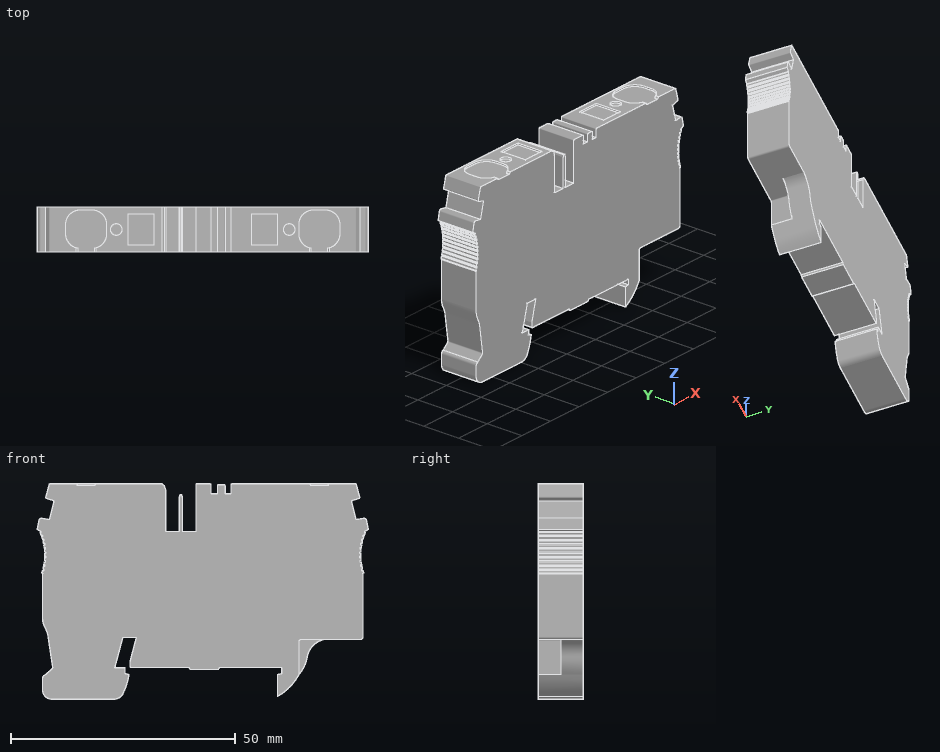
import cadquery as cq
import math

LENGTH = 73.75
THICKNESS = 10.0
HEIGHT = 48.0
HALF_LENGTH = LENGTH / 2

TOP_INSET = 2.7
LIP_INSET, LIP_Z = 1.85, 44.75
NOTCH_TOP_INSET, NOTCH_TOP_Z = 3.75, 44.2
NOTCH_FLOOR_INSET, NOTCH_FLOOR_Z = 2.7, 40.05
SHOULDER_INSET, SHOULDER_Z = 0.5, 40.4
TIP_Z = 37.8
WALL_INSET = 1.2

GRIP_RADIUS = 12.9
GRIP_DEPTH = 1.9
GRIP_CENTER_Z = 32.15
GRIP_TOP_Z = 37.3
GRIP_CENTER_INSET = GRIP_DEPTH - GRIP_RADIUS
GRIP_TOP_INSET = GRIP_CENTER_INSET + math.sqrt(GRIP_RADIUS**2 - (GRIP_TOP_Z - GRIP_CENTER_Z) ** 2)
GRIP_BOTTOM_Z = GRIP_CENTER_Z - math.sqrt(GRIP_RADIUS**2 - (WALL_INSET - GRIP_CENTER_INSET) ** 2)
RIBS_BELOW_CENTER, RIBS_ABOVE_CENTER = 4, 5
RIB_PITCH = 4.3
RIB_WIDTH = 0.7
RIB_HEIGHT = 0.26
RIB_ROOT = 0.3

UNDERSIDE_Z = 7.1
HOOK_TIP_Z = 5.5
HOOK_STEP_Z = 5.75
WALL_X = HALF_LENGTH - WALL_INSET
OVERHANG_Z = 13.3
CLAW_BACK_X = 21.45
CLAW_FRONT_X = 16.6
CLAW_TIP_Z = 0.6
CLAW_STEP_X = 17.55
CLAW_ARC_MID = (19.4, 2.7)
FOOT_CORNER_RADIUS = 2.15
FOOT_TOE_RIGHT_X = -19.7
FOOT_TOE_MID, FOOT_TOE_END = (-18.65, 0.3), (-17.85, 1.0)
FOOT_FLANK_MID, FOOT_FLANK_END = (-16.95, 3.1), (-16.4, HOOK_TIP_Z)
HOOK_STEP_X = -17.25

TAPER_START = (-WALL_X, 17.1)
TAPER_END = (-34.6, 14.8)
FOOT_WAIST = (-33.4, 6.9)
FOOT_SLOPE_END = (-35.1, 5.45)
FOOT_SHOULDER = (-WALL_X, 5.2)
TAPER_START_RADIUS = 4.4
TAPER_END_RADIUS = 3.3
FOOT_WAIST_RADIUS = 0.4
FOOT_SHOULDER_RADIUS = 0.9

SPRING_SLOT_TOP_Z = 13.7
SPRING_SLOT_TOP_X = (-17.8, -14.8)
SPRING_SLOT_BOTTOM_X = (-19.55, -16.2)
SPRING_SLOT_BEND_Z = 8.4

SMALL_RADIUS = 0.3
OVERHANG_CORNER_RADIUS = 0.7
TOP_EDGE_RADIUS = 0.2
LIP_RADIUS = 0.4
SHOULDER_RADIUS = 0.6

PAD_START_X, PAD_END_X = -3.1, 3.75
PAD_DEPTH = 0.45
PAD_SLOPE = 0.3

GUSSET_FRONT_Y = 0
GUSSET_LOWER_MID = (22.65, 7.4)
GUSSET_BEND = (23.3, 9.5)
GUSSET_UPPER_MID = (24.5, 11.9)
GUSSET_TOP_X = 26.85

MARKER_SLOT_X = (-8.2, -1.55)
MARKER_SLOT_FLOOR_Z = 37.4
BEVEL_STEPS = [(0, -1.5), (-0.4, -0.45), (-0.9, 0)]
BLADE_X = sum(MARKER_SLOT_X) / 2
BLADE_WIDTH = 0.75
BLADE_TOP_Z = 45.6
BLADE_ROOT = 0.75
BLADE_TIP_CHAMFER = (0.185, 0.6)
GROOVES_X = ((1.85, 3.25), (5.0, 6.3))
GROOVE_FLOOR_Z = 45.8
TONGUE_DROP = 0.2

RECESS_DEPTH = 0.45
ENTRY_X, ENTRY_Y = 25.95, 0.1
ENTRY_LENGTH, ENTRY_WIDTH = 9.15, 8.55
ENTRY_RADIUS = 3.25
NECK_TOP_WIDTH, NECK_FLOOR_WIDTH = 4.4, 3.7
TEST_HOLE_X = 19.25
TEST_HOLE_DIAMETER = 2.6
WINDOW_X = 13.7
WINDOW_LENGTH, WINDOW_WIDTH = 5.8, 6.9


def end_points(side):
    """Points of one stepped end face, from the top down to the grip; side is -1 or 1."""
    insets = [
        (TOP_INSET, HEIGHT),
        (LIP_INSET, LIP_Z),
        (NOTCH_TOP_INSET, NOTCH_TOP_Z),
        (NOTCH_FLOOR_INSET, NOTCH_FLOOR_Z),
        (SHOULDER_INSET, SHOULDER_Z),
        (0, TIP_Z),
        (GRIP_TOP_INSET, GRIP_TOP_Z),
    ]
    return [(side * (HALF_LENGTH - inset), z) for inset, z in insets]


def prism(wire):
    """Extrude an XZ outline over the full thickness."""
    return wire.close().extrude(THICKNESS / 2, both=True)


def slot(x_range, floor_z):
    """Cutter for a full-thickness slot open at the top."""
    start, end = x_range
    depth = HEIGHT - floor_z
    return cq.Workplane("XY").box(end - start, THICKNESS, depth).translate(
        ((start + end) / 2, 0, floor_z + depth / 2)
    )


def housing():
    """Side outline of the housing with the rail foot and the claw."""
    outline = (
        cq.Workplane("XZ")
        .polyline(end_points(-1))
        .threePointArc((-HALF_LENGTH + GRIP_DEPTH, GRIP_CENTER_Z), (-WALL_X, GRIP_BOTTOM_Z))
        .lineTo(*TAPER_START)
        .lineTo(*TAPER_END)
        .lineTo(*FOOT_WAIST)
        .lineTo(*FOOT_SLOPE_END)
        .lineTo(*FOOT_SHOULDER)
        .lineTo(-WALL_X, FOOT_CORNER_RADIUS)
        .radiusArc((-WALL_X + FOOT_CORNER_RADIUS, 0), -FOOT_CORNER_RADIUS)
        .lineTo(FOOT_TOE_RIGHT_X, 0)
        .threePointArc(FOOT_TOE_MID, FOOT_TOE_END)
        .threePointArc(FOOT_FLANK_MID, FOOT_FLANK_END)
        .lineTo(HOOK_STEP_X, HOOK_STEP_Z)
        .lineTo(HOOK_STEP_X, UNDERSIDE_Z)
        .lineTo(SPRING_SLOT_BOTTOM_X[0], UNDERSIDE_Z)
        .lineTo(SPRING_SLOT_TOP_X[0], SPRING_SLOT_TOP_Z)
        .lineTo(SPRING_SLOT_TOP_X[1], SPRING_SLOT_TOP_Z)
        .lineTo(SPRING_SLOT_BOTTOM_X[1], SPRING_SLOT_BEND_Z)
        .lineTo(SPRING_SLOT_BOTTOM_X[1], UNDERSIDE_Z)
        .lineTo(PAD_START_X, UNDERSIDE_Z)
        .lineTo(PAD_START_X + PAD_SLOPE, UNDERSIDE_Z - PAD_DEPTH)
        .lineTo(PAD_END_X - PAD_SLOPE, UNDERSIDE_Z - PAD_DEPTH)
        .lineTo(PAD_END_X, UNDERSIDE_Z)
        .lineTo(CLAW_STEP_X, UNDERSIDE_Z)
        .lineTo(CLAW_STEP_X, HOOK_STEP_Z)
        .lineTo(CLAW_FRONT_X, HOOK_TIP_Z)
        .lineTo(CLAW_FRONT_X, CLAW_TIP_Z)
        .threePointArc(CLAW_ARC_MID, (CLAW_BACK_X, HOOK_TIP_Z))
        .lineTo(CLAW_BACK_X, OVERHANG_Z)
        .lineTo(WALL_X, OVERHANG_Z)
        .lineTo(WALL_X, GRIP_BOTTOM_Z)
        .threePointArc((HALF_LENGTH - GRIP_DEPTH, GRIP_CENTER_Z), end_points(1)[-1])
    )
    for point in reversed(end_points(1)[:-1]):
        outline = outline.lineTo(*point)
    return prism(outline)


def round_corner(body, x, z, radius):
    """Round the edge along Y that passes through (x, z)."""
    corner = cq.selectors.NearestToPointSelector((x, 0, z))
    return body.edges("|Y").edges(corner).fillet(radius)


def grip_ribs(side):
    """List of ribs standing on the concave grip, pointing at its center."""
    center_x = side * (HALF_LENGTH - GRIP_CENTER_INSET)
    rib_length = RIB_HEIGHT + RIB_ROOT
    rib_radius = GRIP_RADIUS + (RIB_ROOT - RIB_HEIGHT) / 2
    ribs = []
    for index in range(-RIBS_BELOW_CENTER, RIBS_ABOVE_CENTER + 1):
        angle = index * RIB_PITCH
        rib = (
            cq.Workplane("XY")
            .box(rib_length, THICKNESS, RIB_WIDTH)
            .rotate((0, 0, 0), (0, 1, 0), side * angle)
            .translate(
                (
                    center_x - side * rib_radius * math.cos(math.radians(angle)),
                    0,
                    GRIP_CENTER_Z + rib_radius * math.sin(math.radians(angle)),
                )
            )
        )
        ribs.append(rib)
    return ribs


def blade():
    """Thin upright blade with a tapered tip inside the marker slot."""
    half_width = BLADE_WIDTH / 2
    taper_x, taper_z = BLADE_TIP_CHAMFER
    base_z = MARKER_SLOT_FLOOR_Z - BLADE_ROOT
    half_outline = [
        (half_width, base_z),
        (half_width, BLADE_TOP_Z - taper_z),
        (half_width - taper_x, BLADE_TOP_Z),
    ]
    right = [(BLADE_X + x, z) for x, z in half_outline]
    left = [(BLADE_X - x, z) for x, z in reversed(half_outline)]
    return prism(cq.Workplane("XZ").polyline(right + left))


def rim_bevel():
    """Cutter for the bevelled left rim of the marker slot."""
    corner_x = MARKER_SLOT_X[0]
    steps = [(corner_x + x, HEIGHT + z) for x, z in BEVEL_STEPS]
    return prism(cq.Workplane("XZ").polyline([(corner_x, HEIGHT)] + steps))


def gusset():
    """Curved gusset behind the claw, set back from the front face."""
    return (
        cq.Workplane("XZ", origin=(0, GUSSET_FRONT_Y, 0))
        .moveTo(CLAW_BACK_X, OVERHANG_Z)
        .lineTo(CLAW_BACK_X, HOOK_TIP_Z)
        .threePointArc(GUSSET_LOWER_MID, GUSSET_BEND)
        .threePointArc(GUSSET_UPPER_MID, (GUSSET_TOP_X, OVERHANG_Z))
        .close()
        .extrude(-(THICKNESS / 2 - GUSSET_FRONT_Y))
    )


def top_recesses(side):
    """Cutters for the conductor entry, test hole and window of one half."""
    floor = cq.Workplane("XY", origin=(0, 0, HEIGHT - RECESS_DEPTH))
    entry = (
        floor.center(side * ENTRY_X, ENTRY_Y)
        .rect(ENTRY_LENGTH, ENTRY_WIDTH)
        .extrude(RECESS_DEPTH)
        .edges("|Z")
        .fillet(ENTRY_RADIUS)
    )
    neck_points = [
        (side * ENTRY_X - NECK_FLOOR_WIDTH / 2, HEIGHT - RECESS_DEPTH),
        (side * ENTRY_X + NECK_FLOOR_WIDTH / 2, HEIGHT - RECESS_DEPTH),
        (side * ENTRY_X + NECK_TOP_WIDTH / 2, HEIGHT),
        (side * ENTRY_X - NECK_TOP_WIDTH / 2, HEIGHT),
    ]
    neck = (
        cq.Workplane("XZ", origin=(0, -THICKNESS / 2, 0))
        .polyline(neck_points)
        .close()
        .extrude(-(THICKNESS - ENTRY_WIDTH))
    )
    test_hole = floor.center(side * TEST_HOLE_X, 0).circle(TEST_HOLE_DIAMETER / 2).extrude(RECESS_DEPTH)
    window = floor.center(side * WINDOW_X, 0).rect(WINDOW_LENGTH, WINDOW_WIDTH).extrude(RECESS_DEPTH)
    return entry.union(neck).union(test_hole).union(window)


result = housing()
outline_corners = [
    (WALL_X, OVERHANG_Z, OVERHANG_CORNER_RADIUS),
    (CLAW_BACK_X, OVERHANG_Z, SMALL_RADIUS),
    (SPRING_SLOT_BOTTOM_X[1], UNDERSIDE_Z, SMALL_RADIUS),
    (*TAPER_START, TAPER_START_RADIUS),
    (*TAPER_END, TAPER_END_RADIUS),
    (*FOOT_WAIST, FOOT_WAIST_RADIUS),
    (*FOOT_SHOULDER, FOOT_SHOULDER_RADIUS),
]
for side in (-1, 1):
    outline_corners += [
        (side * (HALF_LENGTH - TOP_INSET), HEIGHT, TOP_EDGE_RADIUS),
        (side * (HALF_LENGTH - LIP_INSET), LIP_Z, LIP_RADIUS),
        (side * (HALF_LENGTH - SHOULDER_INSET), SHOULDER_Z, SHOULDER_RADIUS),
    ]
for x, z, radius in outline_corners:
    result = round_corner(result, x, z, radius)

left_groove, right_groove = GROOVES_X
tongue_x = (left_groove[1], right_groove[0])
tongue_top_z = HEIGHT - TONGUE_DROP
for groove in GROOVES_X:
    result = result.cut(slot(groove, GROOVE_FLOOR_Z))
result = result.cut(slot(tongue_x, tongue_top_z))

result = result.cut(slot(MARKER_SLOT_X, MARKER_SLOT_FLOOR_Z)).cut(rim_bevel())
for x in (MARKER_SLOT_X[1], left_groove[0], right_groove[1]):
    result = round_corner(result, x, HEIGHT, SMALL_RADIUS)
for x in tongue_x:
    result = round_corner(result, x, tongue_top_z, SMALL_RADIUS)
result = result.union(blade())

result = result.union(gusset())
for side in (-1, 1):
    for rib in grip_ribs(side):
        result = result.union(rib)
    result = result.cut(top_recesses(side))